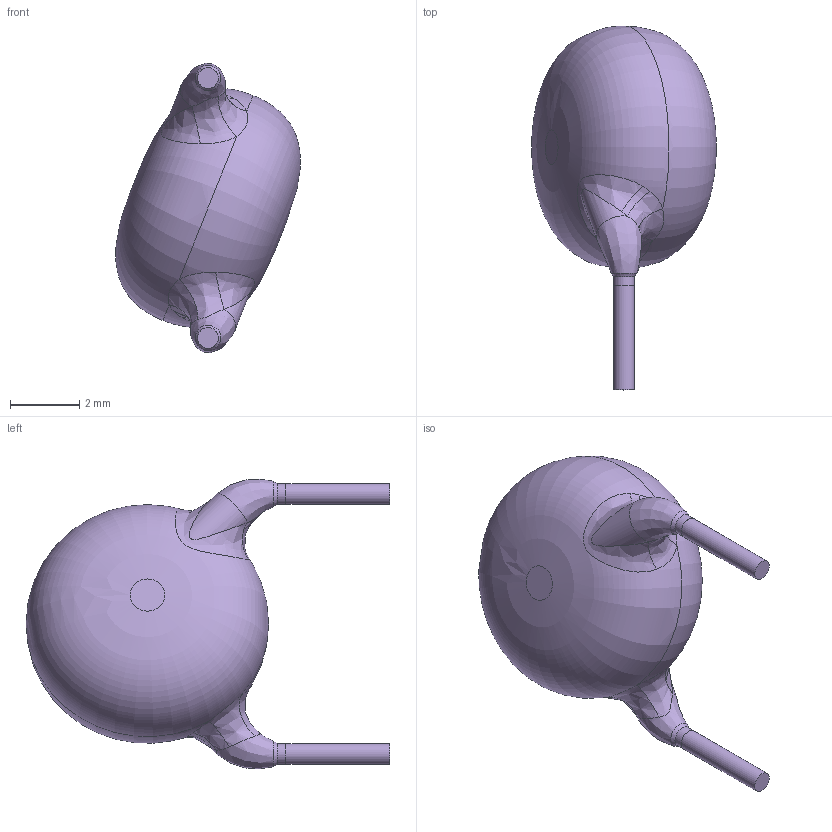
import cadquery as cq
import math

disc_radius = 3.5
disc_half_thickness = 2.25
flat_radius = 0.5
profile_fullness = 0.67
tilt = 21.8

lead_pitch = 7.5
lead_diameter = 0.6
lead_start = -4.0
lead_end = -7.0

neck_start = -3.75
nose_start = -3.64
nose_tip_radius = 0.37
leg_radius = 0.64
bend_radius = 1.7
bend_angle = 45.0
bend_sections = 4
leg_run = 2.0
root_fillet = 1.0

lead_radius = lead_diameter / 2
leg_x = -lead_pitch / 2 * math.sin(math.radians(tilt))
leg_z = lead_pitch / 2 * math.cos(math.radians(tilt))
root_y = -1.75
root_z = 2.3
axis_start = (0, 0, 0)
axis_end = (0, 1, 0)


def make_disc():
    """Untilted disc, revolved about X from a half profile in the XY plane."""
    rim_width = disc_radius - flat_radius
    rim_handle = profile_fullness * disc_half_thickness
    face_handle = flat_radius + profile_fullness * rim_width

    def rim_curve(side):
        face = side * disc_half_thickness
        return [(face, flat_radius), (face, face_handle), (side * rim_handle, disc_radius), (0, disc_radius)]

    return (
        cq.Workplane("XY")
        .moveTo(-disc_half_thickness, 0)
        .lineTo(-disc_half_thickness, flat_radius)
        .bezier(rim_curve(-1))
        .bezier(rim_curve(1)[::-1])
        .lineTo(disc_half_thickness, 0)
        .close()
        .revolve(360, (0, 0, 0), (1, 0, 0))
    )


def leg_section(y, z, angle, radius):
    """Circular wire across the leg centreline, which slopes down by `angle` degrees."""
    slope = math.radians(angle)
    direction = cq.Vector(0, math.cos(slope), -math.sin(slope))
    return cq.Wire.makeCircle(radius, cq.Vector(leg_x, y, z), direction)


def make_leg():
    """Untilted upper leg: neck, cone, bent nose that swells to full size, and straight run."""
    along_y = cq.Vector(0, 1, 0)
    neck_length = neck_start - lead_start
    neck = cq.Solid.makeCylinder(lead_radius, neck_length, cq.Vector(leg_x, lead_start, leg_z), along_y)
    cone = cq.Solid.makeCone(
        lead_radius, nose_tip_radius, nose_start - neck_start, cq.Vector(leg_x, neck_start, leg_z), along_y
    )

    sections = []
    for i in range(bend_sections + 1):
        fraction = i / bend_sections
        angle = bend_angle * fraction
        y = nose_start + bend_radius * math.sin(math.radians(angle))
        z = leg_z - bend_radius * (1 - math.cos(math.radians(angle)))
        swell = math.sin(math.pi / 2 * fraction)
        radius = nose_tip_radius + (leg_radius - nose_tip_radius) * swell
        sections.append(leg_section(y, z, angle, radius))
    nose = cq.Solid.makeLoft(sections)

    slope = math.radians(bend_angle)
    direction = cq.Vector(0, math.cos(slope), -math.sin(slope))
    run = cq.Solid.makeCylinder(leg_radius, leg_run, cq.Vector(leg_x, y, z), direction)
    return cq.Workplane(neck).union(cq.Workplane(cone)).union(cq.Workplane(nose)).union(cq.Workplane(run))


def make_body():
    """Disc with both legs, blended at their roots and tilted into place."""
    disc = make_disc()
    upper_leg = make_leg()
    body = disc
    for turn in (0, 180):
        body = body.union(upper_leg.rotate(axis_start, axis_end, turn))
    for side in (1, -1):
        root_point = (side * leg_x, root_y, side * root_z)
        body = body.edges(cq.selectors.NearestToPointSelector(root_point)).fillet(root_fillet)
    return body.rotate(axis_start, axis_end, tilt)


def make_lead(side):
    """Straight wire butted against the neck of one leg; side is +1 above, -1 below."""
    start = cq.Vector(0, lead_start, side * lead_pitch / 2)
    return cq.Workplane(
        cq.Solid.makeCylinder(lead_radius, lead_start - lead_end, start, cq.Vector(0, -1, 0))
    )


body = make_body()
leads = [make_lead(side) for side in (1, -1)]
result = cq.Compound.makeCompound([body.val(), *[lead.val() for lead in leads]])